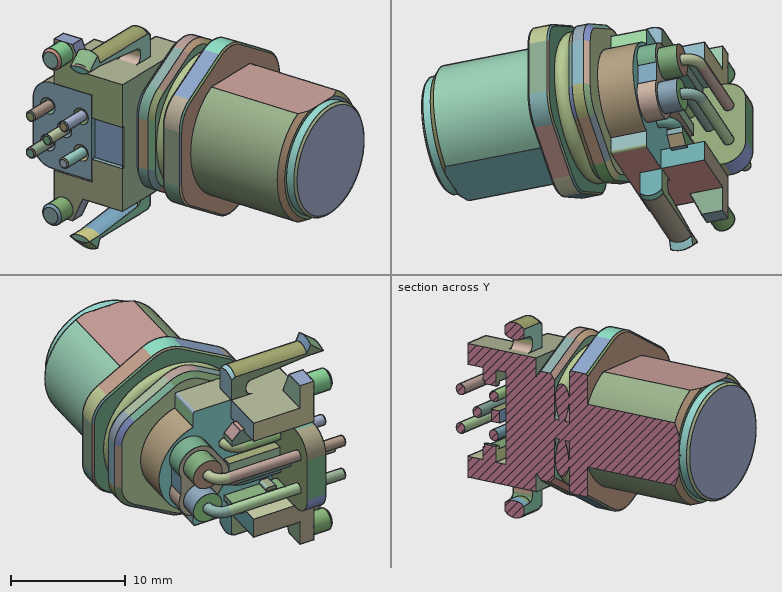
import cadquery as cq
import math


total_length = 25.88
barrel_radius = 6.0
barrel_flat = 5.25
barrel_end = 24.9
barrel_chamfer = 0.47
nose_radius = 5.25
nose_chamfer = 0.2

flange_thickness = 1.97
flange_corner = 3.0
rear_flange_start = 9.68
rear_flange_apothem = 6.95
rear_flange_top = 7.05
rear_flange_bottom = 6.83
rear_flange_chamfer = 0.47
front_flange_start = 13.2
front_flange_apothem = 7.5
front_flange_chamfer = 0.15
seal_section_radius = 0.75
seal_seat_radius = 5.33

housing_start = 6.4
housing_half_width = 6.13
housing_top = 1.27
housing_bottom = -8.55
housing_edge_radius = 0.23
housing_round_radius = 4.68
recess_half_width = 2.0
recess_depth = 0.45
recess_end = 9.52
recess_step_depth = 0.2

pin_radius = 0.5
pin_bend = 1.32
pin_center_x = 3.36
pin_circle_radius = 2.5
pin_offset = pin_circle_radius * math.sqrt(0.5)
pin_tip = -11.08
pin_chamfer = 0.1
pin_embed = 0.25

insert_lobe_radius = 1.86
insert_boss_radius = 1.42
insert_crest = 3.45
insert_crest_half = 1.05
insert_toe = -1.32
insert_toe_half = 0.52
insert_toe_radius = 1.55
insert_flank_y = 0.195
insert_flank_z = 2.82

block_end = 6.25
block_half_width = 4.15
block_top = -6.55
block_bottom = -8.4
block_corner = 2.0
countersink_radius = 0.78
countersink_depth = 0.2

post_start = 4.85
post_end = 5.75
post_top = -1.45
post_half_width = 0.57

clip_start = 2.35
clip_top = -2.5
clip_inner = 4.2
ear_top = -7.15
ear_outer = 8.55
ear_tip_end = 4.32
ear_root_end = 5.4

rib_start = 3.95
rib_end = 5.38
rib_top = -1.27
rib_inner = 3.08
rib_outer = 4.48
rib_chamfer = 0.83
nub_top = -4.75
nub_bottom = -5.77
nub_height = 0.34
nub_corner = 0.2
nub_inset = 0.13

peg_radius = 1.0
peg_length = 1.97
peg_chamfer = 0.23

leg_start = 6.31
leg_width = 2.05
leg_slot_end = -3.99
leg_slot_radius = 0.6
leg_root_end = leg_slot_end - leg_slot_radius
leg_root_height = 7.63
leg_sections = [
    (clip_top, leg_root_height, 7.27, 8.25, 8.7),
    (-2.9, leg_root_height, 7.27, 8.5, 8.95),
    (leg_root_end, leg_root_height, 7.27, 8.5, 8.95),
    (-10.07, 8.2, 7.85, 8.5, 8.95),
    (-10.43, 8.2, 7.85, 9.32, 9.6),
    (-11.6, 8.2, 7.85, 8.25, 8.65),
    (-11.7, 8.2, 7.85, 8.23, 8.44),
]


def x_cylinder(start, end, radius, y=0.0, z=0.0):
    return cq.Workplane("YZ", origin=(start, y, z)).circle(radius).extrude(end - start)


def block(x_range, y_range, z_range):
    sizes = [high - low for low, high in (x_range, y_range, z_range)]
    return cq.Workplane("XY").box(*sizes, centered=False).translate((x_range[0], y_range[0], z_range[0]))


def mirrored(solid):
    """The solid together with its mirror image across the Z = 0 plane."""
    return solid.union(solid.mirror("XY"))


def flange(start, apothem, top, bottom, chamfer):
    """Rounded hexagonal plate with corners on +-Z and flats at y = top and y = -bottom."""
    apex = apothem / math.cos(math.radians(30))
    slope = math.tan(math.radians(30))
    z_top = apex - top * slope
    z_bottom = apex - bottom * slope
    outline = [(0, apex), (top, z_top), (top, -z_top), (0, -apex), (-bottom, -z_bottom), (-bottom, z_bottom)]
    plate = cq.Workplane("YZ", origin=(start, 0, 0)).polyline(outline).close().extrude(flange_thickness)
    return plate.edges("|X").fillet(flange_corner).faces("<X or >X").chamfer(chamfer)


def barrel():
    rear_flange_end = rear_flange_start + flange_thickness
    tube = x_cylinder(front_flange_start, barrel_end, barrel_radius).faces(">X").chamfer(barrel_chamfer)
    flats = block((front_flange_start, barrel_end), (-barrel_radius, barrel_radius), (-barrel_flat, barrel_flat))
    nose = x_cylinder(barrel_end, total_length, nose_radius).faces(">X").chamfer(nose_chamfer)
    seat = x_cylinder(rear_flange_end, front_flange_start, seal_seat_radius)
    seal_x = (rear_flange_end + front_flange_start) / 2
    seal = cq.Workplane("XY").center(seal_x, barrel_radius).circle(seal_section_radius)
    seal = seal.revolve(360, (-seal_x, -barrel_radius), (0.25 - seal_x, -barrel_radius))
    return tube.intersect(flats).union(nose).union(seat).union(seal)


def housing():
    body = block(
        (housing_start, rear_flange_start),
        (housing_bottom, housing_top),
        (-housing_half_width, housing_half_width),
    )
    body = body.edges("|X and >Y").fillet(housing_edge_radius)
    body = body.union(x_cylinder(housing_start, rear_flange_start, housing_round_radius))
    for recess_x_end, depth in ((recess_end, recess_depth), (rear_flange_start, recess_step_depth)):
        recess = block(
            (housing_start, recess_x_end),
            (housing_bottom, housing_bottom + depth),
            (-recess_half_width, recess_half_width),
        )
        body = body.cut(recess)
    return body


def insert():
    face = pin_center_x + pin_bend
    boss_face = face - pin_offset
    half = [
        (insert_crest, insert_crest_half),
        (insert_flank_y, insert_flank_z),
        (insert_toe, insert_toe_half),
    ]
    outline = half + [(y, -z) for y, z in reversed(half)]
    carrier = cq.Workplane("YZ", origin=(face, 0, 0)).polyline(outline).close().extrude(housing_start - face)
    carrier = carrier.edges("|X and <Y").fillet(insert_toe_radius)
    for z in (-pin_offset, pin_offset):
        carrier = carrier.union(x_cylinder(face, housing_start, insert_lobe_radius, pin_offset, z))
        carrier = carrier.union(x_cylinder(boss_face, face, insert_boss_radius, pin_offset, z))
    return carrier


def pin_x(level):
    """X of the vertical run of a contact that leaves the insert at height y = level."""
    return pin_center_x - level


def contact(level, z):
    x = pin_x(level)
    face = x + pin_bend
    diagonal = pin_bend * math.sqrt(0.5)
    path = (
        cq.Workplane("XY", origin=(0, 0, z))
        .moveTo(face + pin_embed, level)
        .lineTo(face, level)
        .threePointArc((face - diagonal, level - pin_bend + diagonal), (x, level - pin_bend))
        .lineTo(x, pin_tip)
    )
    rod = cq.Workplane("YZ", origin=(face + pin_embed, level, z)).circle(pin_radius).sweep(path)
    return rod.faces("<Y").chamfer(pin_chamfer)


def center_post():
    """Post that stands on the guide block behind the middle contact."""
    half = post_half_width
    return block((post_start, post_end), (block_top, post_top), (-half, half))


def guide_block():
    guide = block((0, block_end), (block_bottom, block_top), (-block_half_width, block_half_width))
    guide = guide.edges("|Y and <X").fillet(block_corner)
    for level, z in contacts:
        cone = cq.Solid.makeCone(
            countersink_radius,
            pin_radius,
            countersink_depth,
            pnt=cq.Vector(pin_x(level), block_bottom, z),
            dir=cq.Vector(0, 1, 0),
        )
        guide = guide.cut(cq.Workplane(cone))
    return guide


def clip_cheek():
    cheek = block((clip_start, rear_flange_start), (housing_bottom, clip_top), (clip_inner, housing_half_width))
    ear_outline = [
        (clip_start, clip_inner),
        (clip_start, ear_outer),
        (ear_tip_end, ear_outer),
        (ear_root_end, housing_half_width),
        (ear_root_end, clip_inner),
    ]
    ear = cq.Workplane("XZ", origin=(0, ear_top, 0)).polyline(ear_outline).close()
    return cheek.union(ear.extrude(ear_top - housing_bottom))


def guide_rib():
    outline = [
        (rib_top, rib_inner),
        (rib_top, rib_outer - rib_chamfer),
        (rib_top - rib_chamfer, rib_outer),
        (block_top, rib_outer),
        (block_top, rib_inner),
    ]
    rib_width = rib_end - rib_start
    rib = cq.Workplane("YZ", origin=(rib_start, 0, 0)).polyline(outline).close().extrude(rib_width)
    nub = block((rib_start + nub_inset, rib_end), (nub_bottom, nub_top), (rib_inner - nub_height, rib_inner))
    return rib.union(nub.edges("|X and <Z").fillet(nub_corner))


def peg():
    center_x = clip_start + peg_radius
    center_z = ear_outer - peg_radius
    post = cq.Workplane("XZ", origin=(center_x, housing_bottom, center_z)).circle(peg_radius)
    return post.extrude(peg_length).faces("<Y").chamfer(peg_chamfer)


def leg_wire(y, lower_edge, lower_crown, upper_edge, upper_crown):
    leg_end = leg_start + leg_width
    middle = leg_start + leg_width / 2
    outline = (
        cq.Workplane("XZ", origin=(0, y, 0))
        .moveTo(leg_start, lower_edge)
        .threePointArc((middle, lower_crown), (leg_end, lower_edge))
        .lineTo(leg_end, upper_edge)
        .threePointArc((middle, upper_crown), (leg_start, upper_edge))
        .close()
    )
    return outline.val()


def snap_leg():
    """Lens-section spring leg with a hooked end, hung from a root with a rounded slot end."""
    leg = cq.Workplane(cq.Solid.makeLoft([leg_wire(*section) for section in leg_sections], True))
    x_range = (leg_start, leg_start + leg_width)
    root = block(x_range, (leg_root_end, clip_top), (clip_inner, leg_root_height))
    slot = block(x_range, (leg_root_end - leg_slot_radius, leg_slot_end), (housing_half_width, leg_root_height))
    root = root.cut(slot.edges("|X and >Y").fillet(leg_slot_radius))
    return leg.union(root)


contacts = [(0.0, 0.0)]
for contact_level in (-pin_offset, pin_offset):
    for contact_z in (-pin_offset, pin_offset):
        contacts.append((contact_level, contact_z))

result = barrel()
result = result.union(
    flange(
        rear_flange_start,
        rear_flange_apothem,
        rear_flange_top,
        rear_flange_bottom,
        rear_flange_chamfer,
    )
)
result = result.union(
    flange(
        front_flange_start,
        front_flange_apothem,
        front_flange_apothem,
        front_flange_apothem,
        front_flange_chamfer,
    )
)
result = result.union(housing()).union(insert()).union(guide_block()).union(center_post())
for side_feature in (clip_cheek(), guide_rib(), peg(), snap_leg()):
    result = result.union(mirrored(side_feature))
for contact_level, contact_z in contacts:
    result = result.union(contact(contact_level, contact_z))